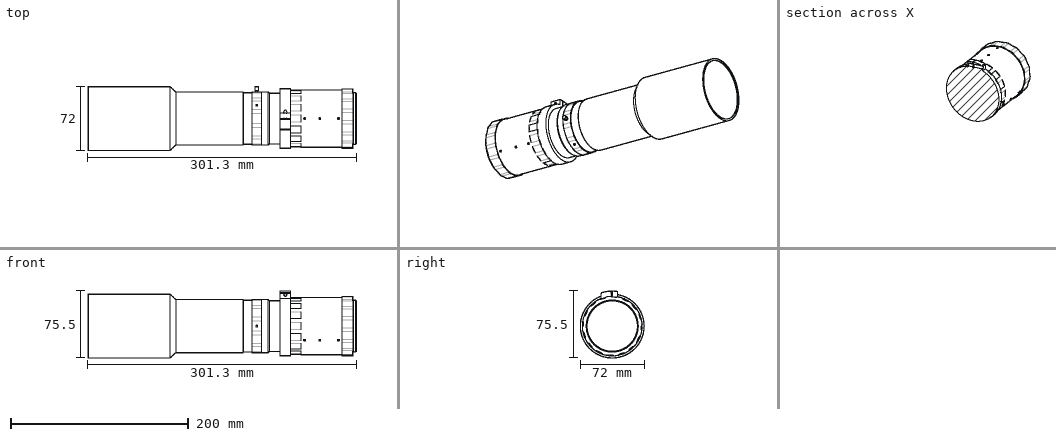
import cadquery as cq
import math


HOOD_END = 92.0
HOOD_TAPER_END = 98.4
TUBE_END = 173.7
FOCUS_RING_START = 184.3
FOCUS_RING_END = 194.5
FOCUS_SHOULDER_END = 202.0
COLLAR_START = 215.5
COLLAR_END = 227.5
BARREL_GRIP_END = 239.4
END_RING_START = 285.1
END_RING_END = 297.4
LENGTH = 301.3

HOOD_R = 36.0
TUBE_R = 30.0
RELIEF_R = 29.2
FOCUS_RING_R = 30.5
NECK_R = 28.7
COLLAR_R = 33.6
BARREL_R = 32.35
END_RING_R = 33.5
REAR_FLANGE_R = 29.3
REAR_GROOVE_R = 28.3

TUBE_TAPER_LENGTH = 0.8
SHOULDER_TAPER_LENGTH = 1.7
REAR_GROOVE_WIDTH = 0.8
REAR_CHAMFER = 1.0

GLASS_R = 33.8
GLASS_RECESS = 0.8

FOCUS_FLATS = 12
FOCUS_FLAT_ANGLE = 21.0
FOCUS_SCREW_ANGLES = (60, 180, 300)

SCALLOPS = 16
SCALLOP_DEPTH = 0.7
BARREL_SCALLOP_ANGLE = 14.5
END_SCALLOP_ANGLE = 16.0
END_SCALLOP_START = -4.0

SCREW_HOLE_R = 1.0
SCREW_HOLE_DEPTH = 2.0
BARREL_SCREW_X = (243.2, 260.3, 281.2)
BARREL_SCREW_ANGLES = (90, 210, 330)

KNOB_R = 2.2
KNOB_TOP = 35.8
KNOB_BASE = 31.5
KNOB_STEM_R = 1.3

EAR_TOP_R = 39.49
EAR_Y_MIN = -12.8
EAR_Y_MAX = 6.0
EAR_CHAMFER = 0.9
SLIT_Y_MIN = -0.9
SLIT_Y_MAX = 0.1
CLAMP_SCREW_Z = 35.1
CLAMP_HOLE_R = 1.5
CLAMP_HEAD_R = 2.9
CLAMP_HEAD_LENGTH = 6.0


def x_cylinder(x_start, x_end, radius):
    return cq.Workplane("YZ", origin=(x_start, 0, 0)).circle(radius).extrude(x_end - x_start)


def radial_cylinder(x, angle, r_inner, r_outer, radius):
    """Cylinder whose axis points straight out from the lens axis."""
    a = math.radians(angle)
    outward = cq.Vector(0, math.cos(a), math.sin(a))
    base = cq.Vector(x, 0, 0) + outward * r_inner
    return cq.Workplane(cq.Solid.makeCylinder(radius, r_outer - r_inner, base, outward))


def box_between(x, y, z):
    size = [high - low for low, high in (x, y, z)]
    return cq.Workplane("XY").box(*size, centered=False).translate((x[0], y[0], z[0]))


def make_body():
    """Turned outline of the whole lens."""
    groove_end = END_RING_END + REAR_GROOVE_WIDTH
    outline = [
        (0, 0),
        (0, HOOD_R),
        (HOOD_END, HOOD_R),
        (HOOD_TAPER_END, TUBE_R),
        (TUBE_END, TUBE_R),
        (TUBE_END + TUBE_TAPER_LENGTH, RELIEF_R),
        (FOCUS_RING_START, RELIEF_R),
        (FOCUS_RING_START, FOCUS_RING_R),
        (FOCUS_RING_END, FOCUS_RING_R),
        (FOCUS_RING_END, TUBE_R),
        (FOCUS_SHOULDER_END, TUBE_R),
        (FOCUS_SHOULDER_END + SHOULDER_TAPER_LENGTH, NECK_R),
        (COLLAR_START, NECK_R),
        (COLLAR_START, COLLAR_R),
        (COLLAR_END, COLLAR_R),
        (COLLAR_END, BARREL_R),
        (END_RING_START, BARREL_R),
        (END_RING_START, END_RING_R),
        (END_RING_END, END_RING_R),
        (END_RING_END, REAR_GROOVE_R),
        (groove_end, REAR_GROOVE_R),
        (groove_end, REAR_FLANGE_R),
        (LENGTH - REAR_CHAMFER, REAR_FLANGE_R),
        (LENGTH, REAR_FLANGE_R - REAR_CHAMFER),
        (LENGTH, 0),
    ]
    body = cq.Workplane("XY").polyline(outline).close().revolve(360, (0, 0, 0), (1, 0, 0))
    return body.cut(x_cylinder(0, GLASS_RECESS, GLASS_R))


def cut_focus_flats(body):
    flat_distance = FOCUS_RING_R * math.cos(math.radians(FOCUS_FLAT_ANGLE / 2))
    cutter_half_width = FOCUS_RING_R / 2
    flat_cutter = box_between(
        (FOCUS_RING_START, FOCUS_RING_END),
        (flat_distance, HOOD_R),
        (-cutter_half_width, cutter_half_width),
    )
    for i in range(FOCUS_FLATS):
        body = body.cut(flat_cutter.rotate((0, 0, 0), (1, 0, 0), i * 360 / FOCUS_FLATS))
    return body


def cut_scallops(body, x_start, x_end, radius, width_angle, first_angle):
    """Cut concave finger grips whose chord spans width_angle of the ring."""
    half_angle = math.radians(width_angle / 2)
    half_chord = radius * math.sin(half_angle)
    chord_distance = radius * math.cos(half_angle)
    sag = SCALLOP_DEPTH - (radius - chord_distance)
    cutter_r = (half_chord**2 + sag**2) / (2 * sag)
    center_distance = chord_distance - sag + cutter_r
    for i in range(SCALLOPS):
        angle = first_angle + i * 360 / SCALLOPS
        cutter = x_cylinder(x_start, x_end, cutter_r).translate((0, center_distance, 0))
        body = body.cut(cutter.rotate((0, 0, 0), (1, 0, 0), angle))
    return body


def cut_screw_holes(body, x, angles, radius):
    for angle in angles:
        body = body.cut(
            radial_cylinder(x, angle, radius - SCREW_HOLE_DEPTH, radius + SCREW_HOLE_DEPTH, SCREW_HOLE_R)
        )
    return body


def add_knob(body):
    x = (FOCUS_RING_START + FOCUS_RING_END) / 2
    stem = radial_cylinder(x, 0, NECK_R, KNOB_TOP, KNOB_STEM_R)
    head = radial_cylinder(x, 0, KNOB_BASE, KNOB_TOP, KNOB_R)
    return body.union(stem).union(head)


def add_clamp(body):
    """Two ears on the collar, split by a slit and joined by a cross screw hole."""
    collar_x = (COLLAR_START, COLLAR_END)
    ears = x_cylinder(*collar_x, EAR_TOP_R).intersect(
        box_between(collar_x, (EAR_Y_MIN, EAR_Y_MAX), (NECK_R, EAR_TOP_R))
    )
    ears = ears.faces("<Y").edges(">Z").chamfer(EAR_CHAMFER)
    body = body.union(ears)
    body = body.cut(box_between(collar_x, (SLIT_Y_MIN, SLIT_Y_MAX), (BARREL_R, EAR_TOP_R)))

    screw_x = (COLLAR_START + COLLAR_END) / 2
    hole = cq.Solid.makeCylinder(
        CLAMP_HOLE_R, EAR_Y_MAX - EAR_Y_MIN, cq.Vector(screw_x, EAR_Y_MIN, CLAMP_SCREW_Z), cq.Vector(0, 1, 0)
    )
    head_clearance = cq.Solid.makeCylinder(
        CLAMP_HEAD_R, CLAMP_HEAD_LENGTH, cq.Vector(screw_x, EAR_Y_MAX, CLAMP_SCREW_Z), cq.Vector(0, 1, 0)
    )
    return body.cut(cq.Workplane(hole)).cut(cq.Workplane(head_clearance))


part = make_body()
part = cut_focus_flats(part)
part = cut_scallops(part, COLLAR_END, BARREL_GRIP_END, BARREL_R, BARREL_SCALLOP_ANGLE, 0)
part = cut_scallops(part, END_RING_START, END_RING_END, END_RING_R, END_SCALLOP_ANGLE, END_SCALLOP_START)
part = cut_screw_holes(part, (FOCUS_RING_START + FOCUS_RING_END) / 2, FOCUS_SCREW_ANGLES, FOCUS_RING_R)
for screw_x in BARREL_SCREW_X:
    part = cut_screw_holes(part, screw_x, BARREL_SCREW_ANGLES, BARREL_R)
part = add_knob(part)
result = add_clamp(part)